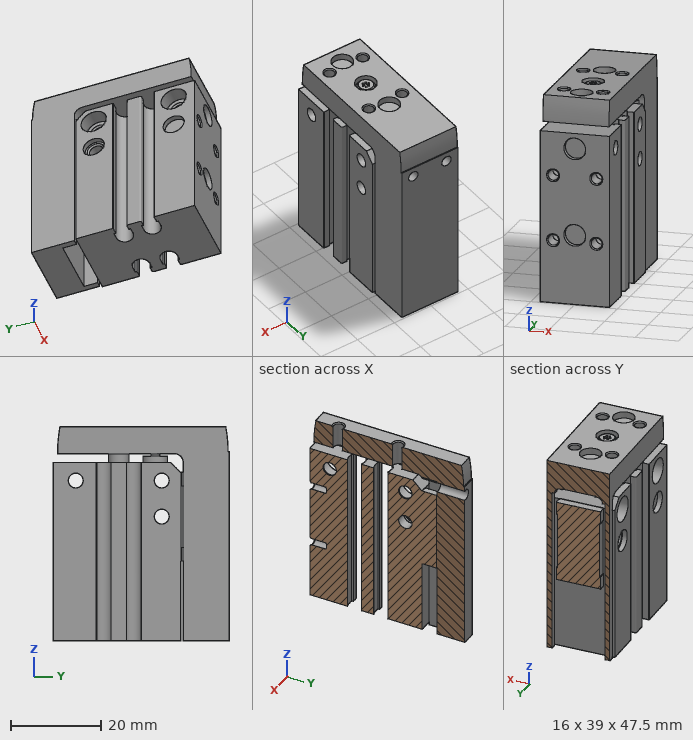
import cadquery as cq
import math


housing_width = 16.0
housing_depth = 28.25
housing_height = 39.55
table_width = 15.3
table_inner_y = 28.8
table_back_y = 39.0
table_top_z = 47.5
slab_bottom_z = 41.45
slab_gap = slab_bottom_z - housing_height
slab_thickness = table_top_z - slab_bottom_z

corner_chamfer = 2.3

rod_y = 14.55
groove_pitch = 6.6
groove_neck = 3.15
groove_lip = 1.6
groove_round = 4.0
groove_center_depth = 3.0
rib_recess = 0.2
lip_chamfer = 0.15
rib_round = 0.4

side_holes_y = (5.0, 24.05)
bolt_z = 35.55
bolt_counterbore = 6.0
bolt_counterbore_depth = 3.35
port_z = 27.55
port_recess = 5.0
port_recess_depth = 1.2
through_hole = 3.25
through_hole_mouth = 4.0

tapped_hole = 2.45
tapped_mouth = 3.0
front_hole_x = 5.0
front_holes_z = (14.5, 29.5)
front_hole_depth = 4.0
drill_point_angle = 118.0

locating_recess = 5.0
front_recesses_z = (16.0, 36.0)
front_recess_depth = 1.2

guide_width = 10.35
guide_bottom_z = 17.65
guide_top_z = 37.4
guide_cap_height = 3.1
guide_cap_overhang = 0.2

slab_front_y = 0.95
slab_back_y = 38.75
edge_land = 0.48
end_draw_in = 0.5
inner_fillet = 2.0

channel_width = 12.8
channel_top_z = 39.45
channel_floor_y = 32.0
relief_width = 8.08
relief_top_z = 40.95
back_hole = 2.5
back_hole_x = 4.5
back_hole_z = 39.5

top_hole_x = 4.5
top_holes_y = (7.0, 22.0)
top_recesses_y = (5.5, 23.45)
top_recess_depth = 1.55

screw_counterbore = 5.0
screw_counterbore_depth = 1.5
screw_head = 4.0
screw_head_drop = 0.45
screw_head_chamfer = 0.3
socket_outer_radius = 0.9
socket_inner_radius = 0.55
socket_shoulder_radius = 0.8
socket_shoulder_angle = 12.0
socket_depth = 0.48
socket_lobes = 6

rod = 4.6
bumper = 5.5
bumper_stem = 2.0
bumper_y = 22.6
bumper_top_z = 40.95


def cylinder(start, direction, diameter, length):
    solid = cq.Solid.makeCylinder(diameter / 2, length, cq.Vector(start), cq.Vector(direction))
    return cq.Workplane(obj=solid)


def cone(start, direction, start_diameter, end_diameter, length):
    start_radius = start_diameter / 2
    end_radius = end_diameter / 2
    solid = cq.Solid.makeCone(start_radius, end_radius, length, cq.Vector(start), cq.Vector(direction))
    return cq.Workplane(obj=solid)


def countersink(start, direction, mouth, hole):
    """45-degree cone that narrows from the mouth to the hole."""
    return cone(start, direction, mouth, hole, (mouth - hole) / 2)


def housing_block():
    return (
        cq.Workplane("XY")
        .box(housing_width, housing_depth, housing_height, centered=(True, False, False))
        .faces(">Y").edges(">Z").chamfer(corner_chamfer)
    )


def groove_cutter(side, y):
    """Undercut sensor groove: a chamfered neck that opens into a round-bottomed channel."""
    face_x = housing_width / 2
    mouth_half = groove_neck / 2 + lip_chamfer
    lip_x = face_x - groove_lip
    center_x = face_x - groove_center_depth
    profile = (
        cq.Workplane("XY")
        .moveTo(face_x, -mouth_half)
        .lineTo(face_x - lip_chamfer, -groove_neck / 2)
        .lineTo(lip_x, -groove_neck / 2)
        .lineTo(lip_x, -groove_round / 2)
        .lineTo(center_x, -groove_round / 2)
        .threePointArc((center_x - groove_round / 2, 0), (center_x, groove_round / 2))
        .lineTo(lip_x, groove_round / 2)
        .lineTo(lip_x, groove_neck / 2)
        .lineTo(face_x - lip_chamfer, groove_neck / 2)
        .lineTo(face_x, mouth_half)
        .close()
        .extrude(housing_height)
        .translate((0, y, 0))
    )
    return profile if side > 0 else profile.mirror("YZ")


def rib_trim(side):
    """Cutter that sets the rib between the grooves back from the side face and rounds its edges."""
    face_x = housing_width / 2
    rib_face_x = face_x - rib_recess
    round_x = rib_face_x - rib_round
    rib_half = (groove_pitch - groove_neck) / 2
    reach = groove_pitch / 2
    profile = (
        cq.Workplane("XY")
        .moveTo(face_x, -reach)
        .lineTo(face_x, reach)
        .lineTo(round_x, reach)
        .lineTo(round_x, rib_half)
        .radiusArc((rib_face_x, rib_half - rib_round), rib_round)
        .lineTo(rib_face_x, -rib_half + rib_round)
        .radiusArc((round_x, -rib_half), rib_round)
        .lineTo(round_x, -reach)
        .close()
        .extrude(housing_height)
        .translate((0, rod_y, 0))
    )
    return profile if side > 0 else profile.mirror("YZ")


def cut_grooves(body):
    for side in (-1, 1):
        for step in (-0.5, 0.5):
            body = body.cut(groove_cutter(side, rod_y + step * groove_pitch))
        body = body.cut(rib_trim(side))
    return body


def cut_through_hole(body, y, z, recess, recess_depth):
    """Hole across the housing, recessed on the -X side and countersunk in the floor of the recess."""
    face_x = -housing_width / 2
    inward = (1, 0, 0)
    floor = (face_x + recess_depth, y, z)
    body = body.cut(cylinder((face_x, y, z), inward, recess, recess_depth))
    body = body.cut(countersink(floor, inward, through_hole_mouth, through_hole))
    return body.cut(cylinder((face_x, y, z), inward, through_hole, housing_width))


def cut_side_holes(body):
    front_y, back_y = side_holes_y
    for y in side_holes_y:
        body = cut_through_hole(body, y, bolt_z, bolt_counterbore, bolt_counterbore_depth)
    body = cut_through_hole(body, back_y, port_z, port_recess, port_recess_depth)
    blind_recess_center = (-housing_width / 2, front_y, port_z)
    return body.cut(cylinder(blind_recess_center, (1, 0, 0), port_recess, port_recess_depth))


def cut_front_holes(body):
    inward = (0, 1, 0)
    point_length = tapped_hole / 2 / math.tan(math.radians(drill_point_angle / 2))
    for z in front_holes_z:
        for x in (-front_hole_x, front_hole_x):
            body = body.cut(countersink((x, 0, z), inward, tapped_mouth, tapped_hole))
            body = body.cut(cylinder((x, 0, z), inward, tapped_hole, front_hole_depth))
            body = body.cut(cone((x, front_hole_depth, z), inward, tapped_hole, 0, point_length))
    for z in front_recesses_z:
        body = body.cut(cylinder((0, 0, z), inward, locating_recess, front_recess_depth))
    return body


def guide_block():
    """Guide on the back of the housing that runs in the table channel, with a cap at each end."""
    thickness = channel_floor_y - housing_depth
    cap_width = guide_width + 2 * guide_cap_overhang
    block = (
        cq.Workplane("XY")
        .box(guide_width, thickness, guide_top_z - guide_bottom_z, centered=(True, False, False))
        .translate((0, housing_depth, guide_bottom_z))
    )
    for z in (guide_bottom_z, guide_top_z - guide_cap_height):
        cap = (
            cq.Workplane("XY")
            .box(cap_width, thickness, guide_cap_height, centered=(True, False, False))
            .faces("<Y").edges("|Z").chamfer(guide_cap_overhang)
            .translate((0, housing_depth, z))
        )
        block = block.union(cap)
    return block


def make_housing():
    body = cut_grooves(housing_block())
    body = cut_side_holes(body)
    body = cut_front_holes(body)
    return body.union(guide_block())


def table_shell():
    """L-shaped table: an upright back plate and a slab over the housing, with two rounded slab ends."""
    land_z = slab_bottom_z + edge_land
    rise = table_top_z - land_z
    mid_z = land_z + rise / 2
    mid_lean = end_draw_in / 4
    profile = (
        cq.Workplane("YZ")
        .moveTo(table_inner_y, 0)
        .lineTo(table_back_y, 0)
        .lineTo(table_back_y, land_z)
        .lineTo(slab_back_y, land_z)
        .threePointArc((slab_back_y - mid_lean, mid_z), (slab_back_y - end_draw_in, table_top_z))
        .lineTo(slab_front_y + end_draw_in, table_top_z)
        .threePointArc((slab_front_y + mid_lean, mid_z), (slab_front_y, land_z))
        .lineTo(slab_front_y, slab_bottom_z)
        .lineTo(table_inner_y - inner_fillet, slab_bottom_z)
        .radiusArc((table_inner_y, slab_bottom_z - inner_fillet), inner_fillet)
        .close()
    )
    return profile.extrude(table_width / 2, both=True)


def cut_guide_channel(body):
    """Channel in the back plate for the guide, open at the bottom and stepped in width at the top."""
    start_y = table_inner_y - inner_fillet
    for width, top_z in ((channel_width, channel_top_z), (relief_width, relief_top_z)):
        channel = (
            cq.Workplane("XY")
            .box(width, channel_floor_y - start_y, top_z, centered=(True, False, False))
            .translate((0, start_y, 0))
        )
        body = body.cut(channel)
    return body


def cut_back_holes(body):
    start_y = table_inner_y - inner_fillet
    for x in (-back_hole_x, back_hole_x):
        body = body.cut(cylinder((x, start_y, back_hole_z), (0, 1, 0), back_hole, table_back_y - start_y))
    return body


def cut_top_holes(body):
    down = (0, 0, -1)
    for y in top_holes_y:
        for x in (-top_hole_x, top_hole_x):
            body = body.cut(countersink((x, y, table_top_z), down, tapped_mouth, tapped_hole))
            body = body.cut(cylinder((x, y, table_top_z), down, tapped_hole, slab_thickness))
    for y in top_recesses_y:
        body = body.cut(cylinder((0, y, table_top_z), down, locating_recess, top_recess_depth))
    return body.cut(cylinder((0, rod_y, table_top_z), down, screw_counterbore, screw_counterbore_depth))


def polar(radius, degrees):
    angle = math.radians(degrees)
    return (radius * math.cos(angle), radius * math.sin(angle))


def screw_socket():
    """Six-lobed socket: round lobes with hollows between them."""
    lobe_pitch = 360 / socket_lobes
    outline = cq.Workplane("XY").moveTo(*polar(socket_shoulder_radius, -socket_shoulder_angle))
    for lobe in range(socket_lobes):
        tip = lobe * lobe_pitch
        lobe_end = polar(socket_shoulder_radius, tip + socket_shoulder_angle)
        next_lobe = polar(socket_shoulder_radius, tip + lobe_pitch - socket_shoulder_angle)
        outline = outline.threePointArc(polar(socket_outer_radius, tip), lobe_end)
        outline = outline.threePointArc(polar(socket_inner_radius, tip + lobe_pitch / 2), next_lobe)
    head_top_z = table_top_z - screw_head_drop
    return outline.close().extrude(-socket_depth).translate((0, rod_y, head_top_z))


def screw():
    head_height = screw_counterbore_depth - screw_head_drop
    floor_z = table_top_z - screw_counterbore_depth
    head = cylinder((0, rod_y, floor_z), (0, 0, 1), screw_head, head_height)
    return head.faces(">Z").edges().chamfer(screw_head_chamfer).cut(screw_socket())


def bumper_post():
    base = (0, bumper_y, housing_height)
    up = (0, 0, 1)
    post = cylinder(base, up, bumper, bumper_top_z - housing_height)
    return post.union(cylinder(base, up, bumper_stem, slab_gap))


def make_table():
    body = cut_guide_channel(table_shell())
    body = cut_back_holes(body)
    body = cut_top_holes(body)
    piston_rod = cylinder((0, rod_y, housing_height), (0, 0, 1), rod, slab_gap)
    return body.union(piston_rod).union(bumper_post()).union(screw())


housing = make_housing()
table = make_table()
result = cq.Compound.makeCompound([housing.solids().val(), table.solids().val()])